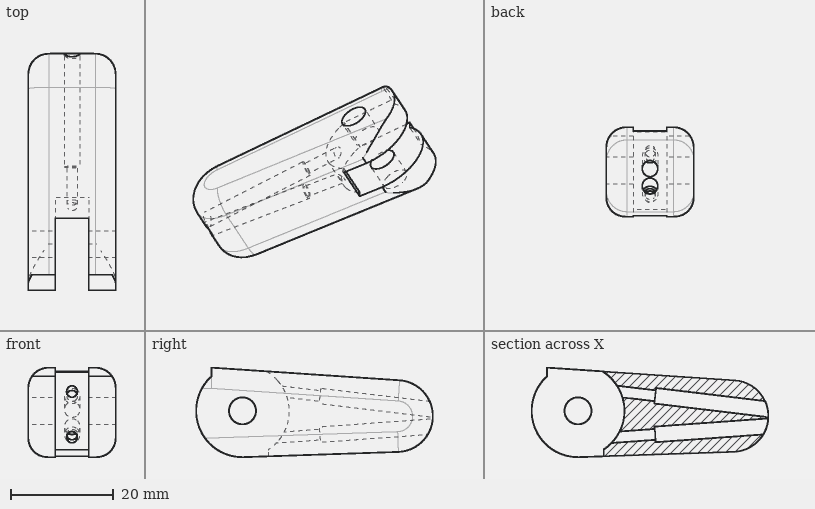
import cadquery as cq
import math

width = 17.0
pivot_radius = 9.0
pivot_hole_diameter = 5.2
rear_radius = 7.0
rear_y = 30.0
rear_z = -1.0
step_y = -6.03
step_z = 8.4
edge_fillet = 4.0

slot_width = 6.5
slot_wall_y = 4.95

cord_diameter = 2.05
cord_counterbore_diameter = 3.0
counterbore_start_y = 15.0
cord_rear_y = 36.35
cord_front_y = 7.6
upper_cord_heights = (3.8, 0.35)
lower_cord_heights = (-5.1, -3.05)

margin = 4.6
front_y = -pivot_radius - margin
clear_height = 4 * pivot_radius


def x_cylinder(radius, length):
    return cq.Workplane("YZ").circle(radius).extrude(length / 2, both=True)


def rear_point(angle):
    """Point on the rear round; the angle is measured from +Y toward +Z."""
    return (rear_y + rear_radius * math.cos(angle), rear_z + rear_radius * math.sin(angle))


def lever_blank():
    """Tapered lever with a rounded rear and edges, extended past the front."""
    reach = math.hypot(step_y - rear_y, step_z - rear_z)
    direction = math.atan2(step_z - rear_z, step_y - rear_y)
    top_angle = direction - math.acos(rear_radius / reach)

    center_distance = math.hypot(rear_y, rear_z)
    bottom_angle = (
        math.atan2(rear_z, rear_y)
        - math.acos((pivot_radius - rear_radius) / center_distance)
    )
    bottom_point = rear_point(bottom_angle)
    bottom_slope = -1 / math.tan(bottom_angle)
    front_bottom_z = bottom_point[1] + bottom_slope * (front_y - bottom_point[0])

    blank = (
        cq.Workplane("YZ")
        .moveTo(front_y, step_z)
        .lineTo(step_y, step_z)
        .lineTo(*rear_point(top_angle))
        .threePointArc(rear_point((top_angle + bottom_angle) / 2), bottom_point)
        .lineTo(front_y, front_bottom_z)
        .close()
        .extrude(width / 2, both=True)
    )
    long_edges = blank.faces("<X or >X").edges("not <Y")
    return blank.newObject(long_edges.vals()).fillet(edge_fillet)


def front_envelope():
    """Pivot round in front of the step, everything behind it."""
    behind_step = cq.Workplane("XY").box(
        width, rear_y + rear_radius + margin - step_y, clear_height, centered=(True, False, True)
    ).translate((0, step_y, 0))
    below_pivot = cq.Workplane("XY").box(
        width, -step_y, clear_height, centered=(True, False, False)
    ).translate((0, step_y, -clear_height))
    return behind_step.cut(below_pivot).union(x_cylinder(pivot_radius, width))


def fork_slot():
    straight = cq.Workplane("XY").box(
        slot_width, slot_wall_y - front_y, clear_height, centered=(True, False, True)
    ).translate((0, front_y, 0))
    return straight.union(x_cylinder(pivot_radius, slot_width))


def cord_hole(front_z, rear_z_position):
    """Sloping hole from the slot, enlarged toward its rear exit."""
    slope = (rear_z_position - front_z) / (cord_rear_y - cord_front_y)

    def bore(diameter, start_y):
        start = cq.Vector(0, start_y, front_z + slope * (start_y - cord_front_y))
        direction = cq.Vector(0, 1, slope)
        length = (cord_rear_y + margin - start_y) * direction.Length
        return cq.Solid.makeCylinder(diameter / 2, length, start, direction)

    small_bore = cq.Workplane(bore(cord_diameter, slot_wall_y))
    return small_bore.union(cq.Workplane(bore(cord_counterbore_diameter, counterbore_start_y)))


result = lever_blank().intersect(front_envelope()).cut(fork_slot())
result = result.cut(x_cylinder(pivot_hole_diameter / 2, width + margin))
for heights in (upper_cord_heights, lower_cord_heights):
    result = result.cut(cord_hole(*heights))